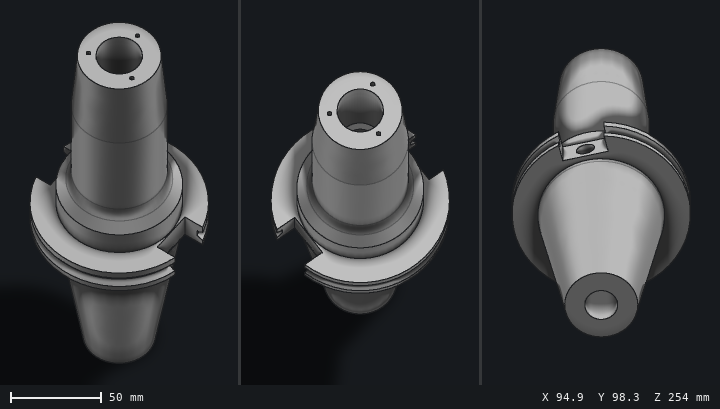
import cadquery as cq
import math

total_height = 254.0
gauge_height = 101.5
gauge_diameter = 69.8
taper_ratio = 7 / 24
shoulder_top = 136.7
body_diameter = 53.0
neck_fillet_radius = 10.0
neck_cone_angle = 45.0
nose_height = 44.7
nose_end_radius = 23.0

flange_diameter = 98.3
flange_bottom = 104.6
flange_thickness = 16.0
groove_depth = 3.5
groove_floor_width = 3.5
groove_flank_angle = 30.0
groove_center_height = 112.3

slot_width = 25.7
left_slot_floor = 37.5
right_slot_floor = 35.3
dimple_diameter = 10.2
dimple_depth = 10.2

tool_bore_diameter = 25.5
tool_bore_depth = 50.8
through_bore_diameter = 18.0
coolant_hole_count = 3
coolant_hole_diameter = 2.3
coolant_circle_radius = 17.0
coolant_hole_depth = nose_height

gauge_radius = gauge_diameter / 2
body_radius = body_diameter / 2
flange_radius = flange_diameter / 2
flange_top = flange_bottom + flange_thickness
flange_middle = flange_bottom + flange_thickness / 2


def make_spindle():
    """Revolved taper, shoulder, filleted neck, body and tapered nose."""
    taper_end_radius = gauge_radius - gauge_height * taper_ratio / 2
    half_sweep = math.radians(neck_cone_angle) / 2
    arc_center_radius = body_radius + neck_fillet_radius

    cone_top_radius = arc_center_radius - neck_fillet_radius * math.cos(2 * half_sweep)
    cone_top = shoulder_top + (gauge_radius - cone_top_radius) / math.tan(2 * half_sweep)
    neck_top = cone_top + neck_fillet_radius * math.sin(2 * half_sweep)
    arc_middle = (
        arc_center_radius - neck_fillet_radius * math.cos(half_sweep),
        neck_top - neck_fillet_radius * math.sin(half_sweep),
    )
    return (
        cq.Workplane("XZ")
        .moveTo(0, 0)
        .lineTo(taper_end_radius, 0)
        .lineTo(gauge_radius, gauge_height)
        .lineTo(gauge_radius, shoulder_top)
        .lineTo(cone_top_radius, cone_top)
        .threePointArc(arc_middle, (body_radius, neck_top))
        .lineTo(body_radius, total_height - nose_height)
        .lineTo(nose_end_radius, total_height)
        .lineTo(0, total_height)
        .close()
        .revolve(360, (0, 0), (0, 1))
    )


def make_flange():
    """Disc with a V groove in its rim and a drive slot on each side."""
    floor_radius = flange_radius - groove_depth
    floor_half = groove_floor_width / 2
    mouth_half = floor_half + groove_depth * math.tan(math.radians(groove_flank_angle))
    flange = (
        cq.Workplane("XZ")
        .moveTo(0, flange_bottom)
        .lineTo(flange_radius, flange_bottom)
        .lineTo(flange_radius, groove_center_height - mouth_half)
        .lineTo(floor_radius, groove_center_height - floor_half)
        .lineTo(floor_radius, groove_center_height + floor_half)
        .lineTo(flange_radius, groove_center_height + mouth_half)
        .lineTo(flange_radius, flange_top)
        .lineTo(0, flange_top)
        .close()
        .revolve(360, (0, 0), (0, 1))
    )
    for side, floor in ((-1, left_slot_floor), (1, right_slot_floor)):
        slot = (
            cq.Workplane("XY", origin=(side * (floor + flange_radius / 2), 0, flange_middle))
            .box(flange_radius, slot_width, flange_thickness)
        )
        flange = flange.cut(slot)
    return flange


def make_bores():
    """Stepped central bore and the ring of coolant holes in the nose face."""
    top_face = cq.Workplane("XY", origin=(0, 0, total_height))
    through_bore = cq.Workplane("XY").circle(through_bore_diameter / 2).extrude(total_height)
    tool_bore = top_face.circle(tool_bore_diameter / 2).extrude(-tool_bore_depth)
    coolant_holes = (
        top_face.polarArray(coolant_circle_radius, 90, 360, coolant_hole_count)
        .circle(coolant_hole_diameter / 2)
        .extrude(-coolant_hole_depth)
    )
    return through_bore.union(tool_bore).union(coolant_holes)


def make_dimple():
    """Blind round hole in the floor of the left, shallower slot."""
    return (
        cq.Workplane("YZ", origin=(-left_slot_floor, 0, flange_middle))
        .circle(dimple_diameter / 2)
        .extrude(dimple_depth)
    )


result = make_spindle().union(make_flange()).cut(make_bores()).cut(make_dimple())